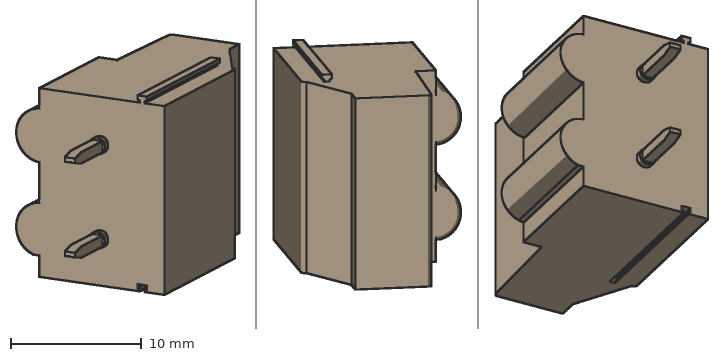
import cadquery as cq


body_height = 15.02
body_left = -5.3
body_right = body_left + 10.8
body_depth = 18.0
shoulder_depth = 9.78
upper_left_base = -3.7
upper_left_top = -3.43
upper_right = 2.53
slope_top_depth = 16.38
ledge_depth = 11.8
ledge_width = 0.35
edge_radius = 0.3

pole_pitch = 7.5
first_pole_height = 3.75
pole_heights = [first_pole_height + i * pole_pitch for i in range(2)]

column_radius = 2.15
column_projection = 2.0
column_x = body_left - column_projection + column_radius
column_floor = 1.7

collar_radius = 0.67
collar_length = 0.5
pin_width = 0.9
pin_tip_height = 0.37
pin_length = 5.0
pin_taper_start = 4.02

rib_x = 3.6
rib_height = 0.55
rib_length = 12.0
rib_head_width = 0.78
rib_head_height = 0.3
rib_neck_width = 0.41
rib_neck_height = 0.12


def plan_sketch(height):
    """Workplane parallel to XY, so that local x and y are the part's X and Y."""
    return cq.Workplane("XY", origin=(0, 0, height))


def front_sketch(depth):
    """Workplane at Y = depth facing -Y, so that local x and y are X and Z."""
    return cq.Workplane("XZ", origin=(0, depth, 0))


def make_body():
    block = (
        plan_sketch(0)
        .moveTo(body_left, 0)
        .lineTo(body_right, 0)
        .lineTo(body_right, ledge_depth)
        .lineTo(body_right - ledge_width, ledge_depth)
        .lineTo(upper_right, slope_top_depth)
        .lineTo(upper_right, body_depth)
        .lineTo(upper_left_top, body_depth)
        .lineTo(upper_left_base, shoulder_depth)
        .lineTo(body_left, shoulder_depth)
        .close()
        .extrude(body_height)
    )
    rounded_corners = [(upper_left_top, body_depth), (body_right, ledge_depth)]
    for x, y in rounded_corners:
        corner_edge = cq.selectors.NearestToPointSelector((x, y, body_height / 2))
        block = block.edges(corner_edge).fillet(edge_radius)
    return block


def make_column(height):
    column = (
        front_sketch(0)
        .center(column_x, height)
        .circle(column_radius)
        .extrude(-shoulder_depth)
        .faces(">Y")
        .edges()
        .fillet(edge_radius)
    )
    keep_size = 2 * column_radius
    keep_zone = cq.Workplane("XY").box(keep_size, shoulder_depth, body_height, centered=False)
    keep_zone = keep_zone.translate((column_x - column_radius, 0, column_floor))
    return column.intersect(keep_zone)


def make_pin(height):
    collar = front_sketch(0).center(0, height).circle(collar_radius).extrude(collar_length)
    half_width = pin_width / 2
    half_tip = pin_tip_height / 2
    blade = (
        cq.Workplane("YZ", origin=(0, 0, height))
        .moveTo(0, half_width)
        .lineTo(-pin_taper_start, half_width)
        .lineTo(-pin_length, half_tip)
        .lineTo(-pin_length, -half_tip)
        .lineTo(-pin_taper_start, -half_width)
        .lineTo(0, -half_width)
        .close()
        .extrude(half_width, both=True)
    )
    return collar.union(blade)


def make_rib(base_height):
    """Dovetail-like bar whose neck starts at base_height; also the shape of the groove."""
    half_neck = rib_neck_width / 2
    half_head = rib_head_width / 2
    head_bottom = rib_height - rib_head_height
    return (
        front_sketch(0)
        .center(rib_x, base_height)
        .moveTo(-half_neck, 0)
        .lineTo(-half_neck, rib_neck_height)
        .lineTo(-half_head, head_bottom)
        .lineTo(-half_head, rib_height)
        .lineTo(half_head, rib_height)
        .lineTo(half_head, head_bottom)
        .lineTo(half_neck, rib_neck_height)
        .lineTo(half_neck, 0)
        .close()
        .extrude(-rib_length)
    )


result = make_body()
for pole_height in pole_heights:
    result = result.union(make_column(pole_height))
    result = result.union(make_pin(pole_height))
result = result.cut(make_rib(0)).union(make_rib(body_height))